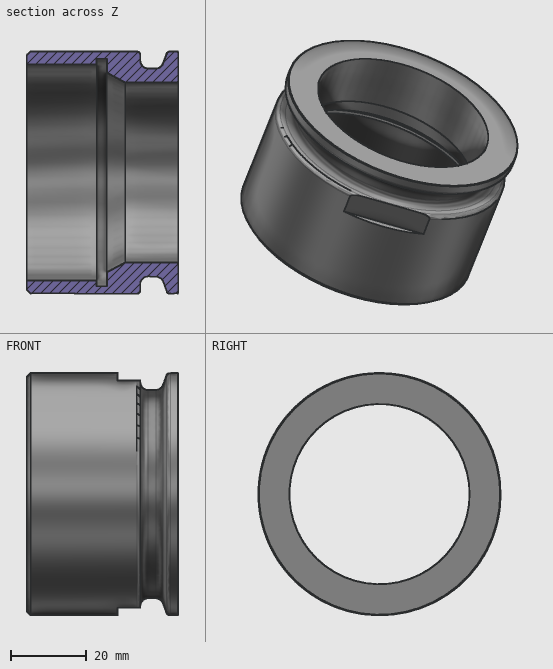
import cadquery as cq
import math

length = 40.0
outer_radius = 32.0

hub_length = 30.0
hub_edge = 1.0
flat_start = 24.0
flat_height = 30.0

neck_radius = 27.5
neck_fillet = 2.0
flange_angle = 20.0
flange_corner = 37.1
flange_fillet = 1.0
flange_chamfer = 0.2

socket_radius = 28.5
socket_depth = 18.4
relief_radius = 30.0
shoulder_depth = 21.2
taper_radius = 26.3
taper_end = 26.0
bore_radius = 23.75


def revolve_about_x(profile):
    return profile.close().revolve(360, (0, 0, 0), (1, 0, 0))


def ring_edge(body, x, radius):
    """Select the circular edge near the given axial place and radius."""
    size = 0.03
    half_side = radius + size
    box = cq.selectors.BoxSelector(
        (x - size, -half_side, -half_side), (x + size, half_side, half_side), boundingbox=True
    )
    radius_matches = [e for e in body.edges(box).vals() if abs(e.radius() - radius) < size]
    return body.newObject(radius_matches)


def outer_body():
    slope_run = (outer_radius - neck_radius) * math.tan(math.radians(flange_angle))
    flange_foot = flange_corner - slope_run
    body = revolve_about_x(
        cq.Workplane("XY")
        .lineTo(0, outer_radius)
        .lineTo(hub_length, outer_radius)
        .lineTo(hub_length, neck_radius)
        .lineTo(flange_foot, neck_radius)
        .lineTo(flange_corner, outer_radius)
        .lineTo(length, outer_radius)
        .lineTo(length, 0)
    )
    body = ring_edge(body, hub_length, neck_radius).fillet(neck_fillet)
    body = ring_edge(body, flange_foot, neck_radius).fillet(neck_fillet)
    body = ring_edge(body, flange_corner, outer_radius).fillet(flange_fillet)
    body = ring_edge(body, hub_length, outer_radius).fillet(hub_edge)
    body = ring_edge(body, 0, outer_radius).chamfer(hub_edge)
    return ring_edge(body, length, outer_radius).chamfer(flange_chamfer)


def inner_space():
    return revolve_about_x(
        cq.Workplane("XY")
        .lineTo(0, socket_radius)
        .lineTo(socket_depth, socket_radius)
        .lineTo(socket_depth, relief_radius)
        .lineTo(shoulder_depth, relief_radius)
        .lineTo(shoulder_depth, taper_radius)
        .lineTo(taper_end, bore_radius)
        .lineTo(length, bore_radius)
        .lineTo(length, 0)
    )


def flat_cutter(side):
    """Block that removes the hub beyond a flat; side is +1 (top) or -1 (bottom)."""
    cut_length = hub_length - flat_start
    cut_depth = outer_radius - flat_height
    return cq.Workplane("XY").box(cut_length, 2 * outer_radius, cut_depth).translate(
        (flat_start + cut_length / 2, 0, side * (flat_height + cut_depth / 2))
    )


result = outer_body().cut(inner_space())
for side in (1, -1):
    result = result.cut(flat_cutter(side))